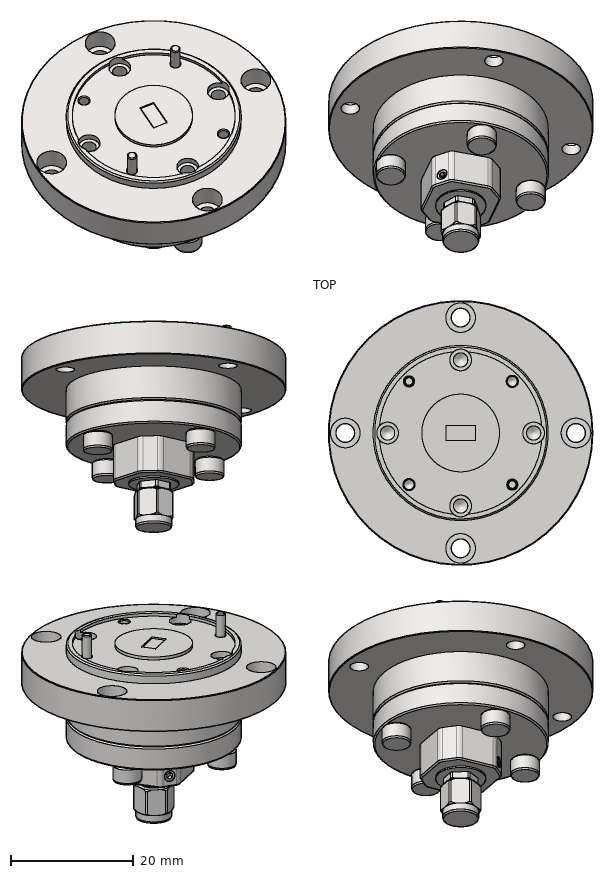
import cadquery as cq
import math


barrel_radius = 14.3
barrel_chamfer = 0.25
bolt_circle_radius = 11.9
drill_tip_angle = 118

plate_radius = 21.6
plate_bottom = 5.6
plate_thickness = 5.55
plate_chamfer = 0.15
rim_height = 1.6
face_recess_radius = 13.3
face_recess_depth = 0.5
boss_radius = 6.35
window_length = 4.8
window_width = 2.45
window_depth = 0.25

mount_circle_radius = 18.83
mount_hole_radius = 1.5
mount_bore_radius = 2.4
mount_bore_depth = 3.65
thread_hole_radius = 1.15
thread_hole_depth = 5.2
thread_bore_radius = 1.75
thread_bore_depth = 1.1
guide_hole_radius = 0.8
guide_hole_depth = 4.3
guide_chamfer = 0.17

pin_radius = 0.78
pin_height = 3.35
pin_depth = 4.3
pin_chamfer = 0.17
pin_hole_chamfer = 0.15

disc_thickness = 4.0
head_radius = 2.37
head_height = 2.9
head_top_chamfer = 0.25
head_bottom_chamfer_length = 0.3
head_bottom_chamfer_width = 0.15
block_half_width = 5.85
block_diagonal_distance = 6.5
block_height = 6.15
block_edge_radius = 1.3
block_chamfer = 0.25

set_screw_height = 1.9
set_screw_radius = 0.9
set_screw_recess = 0.15
socket_across_flats = 1.0
socket_depth = 0.85

washer_radius = 4.1
washer_thickness = 0.25
base_across_flats = 5.15
base_corner_radius = 2.85
base_height = 1.15
base_chamfer = 0.15
neck_radius = 2.15
neck_height = 0.25
nut_across_flats = 5.9
nut_corner_radius = 3.32
nut_height = 4.5
nut_chamfer = 0.25
collar_height = 1.42
collar_chamfer_length = 0.3
collar_chamfer_width = 0.15

plate_top = plate_bottom + plate_thickness
rim_top = plate_top + rim_height
face_level = rim_top - face_recess_depth
disc_bottom = -disc_thickness
block_bottom = disc_bottom - block_height
washer_bottom = block_bottom - washer_thickness
base_bottom = washer_bottom - base_height
neck_bottom = base_bottom - neck_height
nut_bottom = neck_bottom - nut_height
collar_bottom = nut_bottom - collar_height


def polar(radius, angle):
    return (radius * math.cos(math.radians(angle)), radius * math.sin(math.radians(angle)))


quarter_angles = [0, 90, 180, 270]
bolt_points = [polar(bolt_circle_radius, angle) for angle in quarter_angles]
mount_points = [polar(mount_circle_radius, angle) for angle in quarter_angles]
guide_points = [polar(bolt_circle_radius, angle) for angle in (45, 225)]
pin_points = [polar(bolt_circle_radius, angle) for angle in (135, 315)]


def cylinder(radius, bottom, top):
    return cq.Workplane("XY").workplane(offset=bottom).circle(radius).extrude(top - bottom)


def chamfer_bottom(body, length, width):
    """Chamfer of a round end face: `length` along the axis and `width` across it."""
    return body.faces("<Z").chamfer(length, width)


def chamfered_mouth(radius, chamfer):
    """Cone that opens a hole upwards to the flange face."""
    return (
        cq.Workplane("XY")
        .workplane(offset=face_level - chamfer)
        .circle(radius)
        .workplane(offset=chamfer)
        .circle(radius + chamfer)
        .loft()
    )


def drilled_hole(radius, depth):
    """Blind hole from the flange face, ending in a drill point below the given depth."""
    tip_height = radius / math.tan(math.radians(drill_tip_angle / 2))
    shoulder = face_level - depth
    profile = [(0, rim_top), (radius, rim_top), (radius, shoulder), (0, shoulder - tip_height)]
    return cq.Workplane("XZ").polyline(profile).close().revolve(360, (0, 0, 0), (0, 1, 0))


def cut_at(body, tool, points):
    for x, y in points:
        body = body.cut(tool.translate((x, y, 0)))
    return body


def make_flange():
    barrel = cylinder(barrel_radius, 0, rim_top).edges().chamfer(barrel_chamfer)
    plate = cylinder(plate_radius, plate_bottom, plate_top).edges().chamfer(plate_chamfer)
    flange = barrel.union(plate)

    recess = cylinder(face_recess_radius, face_level, rim_top)
    flange = flange.cut(recess.cut(cylinder(boss_radius, face_level, rim_top)))

    window = cq.Workplane("XY").workplane(offset=rim_top - window_depth)
    flange = flange.cut(window.rect(window_length, window_width).extrude(window_depth))

    mount_bore = cylinder(mount_bore_radius, plate_top - mount_bore_depth, plate_top)
    mount_hole = cylinder(mount_hole_radius, plate_bottom, plate_top).union(mount_bore)
    flange = cut_at(flange, mount_hole, mount_points)

    thread_bore = cylinder(thread_bore_radius, face_level - thread_bore_depth, rim_top)
    thread_hole = drilled_hole(thread_hole_radius, thread_hole_depth).union(thread_bore)
    flange = cut_at(flange, thread_hole, bolt_points)

    guide_mouth = chamfered_mouth(guide_hole_radius, guide_chamfer)
    guide_hole = drilled_hole(guide_hole_radius, guide_hole_depth).union(guide_mouth)
    flange = cut_at(flange, guide_hole, guide_points)

    pin_mouth = chamfered_mouth(pin_radius, pin_hole_chamfer)
    pin_hole = cylinder(pin_radius, face_level - pin_depth, face_level).union(pin_mouth)
    return cut_at(flange, pin_hole, pin_points)


def make_pin(point):
    pin = cylinder(pin_radius, face_level - pin_depth, rim_top + pin_height)
    pin = pin.faces(">Z").chamfer(pin_chamfer)
    return pin.translate((*point, 0))


def make_block():
    """Square block with broad diagonal corner faces and rounded edges between the faces."""
    square = (
        cq.Workplane("XY")
        .workplane(offset=block_bottom)
        .rect(2 * block_half_width, 2 * block_half_width)
        .extrude(block_height)
    )
    diamond = (
        cq.Workplane("XY")
        .workplane(offset=block_bottom)
        .transformed(rotate=(0, 0, 45))
        .rect(2 * block_diagonal_distance, 2 * block_diagonal_distance)
        .extrude(block_height)
    )
    block = square.intersect(diamond).edges("|Z").fillet(block_edge_radius)
    return block.faces("<Z").chamfer(block_chamfer)


def make_set_screw_recess():
    """Round recess with a hexagonal socket, sunk square to the -X -Y diagonal face."""
    x, y = polar(block_diagonal_distance, 225)
    face_plane = cq.Plane(
        origin=(x, y, block_bottom + set_screw_height), xDir=(1, -1, 0), normal=(-1, -1, 0)
    )
    recess = cq.Workplane(face_plane).circle(set_screw_radius).extrude(-set_screw_recess)
    socket = (
        cq.Workplane(face_plane)
        .polygon(6, socket_across_flats, circumscribed=True)
        .extrude(-set_screw_recess - socket_depth)
    )
    return recess.union(socket)


def make_hexagon(across_flats, turned_blank):
    """Hexagonal bar with flats towards +Y and -Y, its corners cut back to a turned blank."""
    box = turned_blank.val().BoundingBox()
    corner_radius = across_flats / 2 / math.cos(math.radians(30))
    corners = [polar(corner_radius, angle) for angle in range(0, 360, 60)]
    bar = cq.Workplane("XY").workplane(offset=box.zmin).polyline(corners).close().extrude(box.zlen)
    return bar.intersect(turned_blank)


def make_connector():
    washer = cylinder(washer_radius, washer_bottom, block_bottom)

    base_blank = cylinder(base_corner_radius, base_bottom, washer_bottom)
    base = make_hexagon(base_across_flats, base_blank.faces("<Z").chamfer(base_chamfer))
    neck = cylinder(neck_radius, neck_bottom, base_bottom)

    nut_blank = cylinder(nut_corner_radius, nut_bottom, neck_bottom)
    nut = make_hexagon(nut_across_flats, nut_blank.edges().chamfer(nut_chamfer))
    collar = cylinder(nut_across_flats / 2, collar_bottom, nut_bottom)
    collar = chamfer_bottom(collar, collar_chamfer_length, collar_chamfer_width)
    return washer.union(base).union(neck).union(nut).union(collar)


def make_adapter():
    adapter = cylinder(barrel_radius, disc_bottom, 0).edges().chamfer(barrel_chamfer)

    head = cylinder(head_radius, disc_bottom - head_height, disc_bottom)
    head = head.faces(">Z").chamfer(head_top_chamfer)
    head = chamfer_bottom(head, head_bottom_chamfer_length, head_bottom_chamfer_width)
    for x, y in bolt_points:
        adapter = adapter.union(head.translate((x, y, 0)))

    block = make_block().cut(make_set_screw_recess())
    return adapter.union(block).union(make_connector())


flange = make_flange()
adapter = make_adapter()
pins = [make_pin(point) for point in pin_points]

result = cq.Compound.makeCompound([flange.val(), adapter.val(), *[pin.val() for pin in pins]])